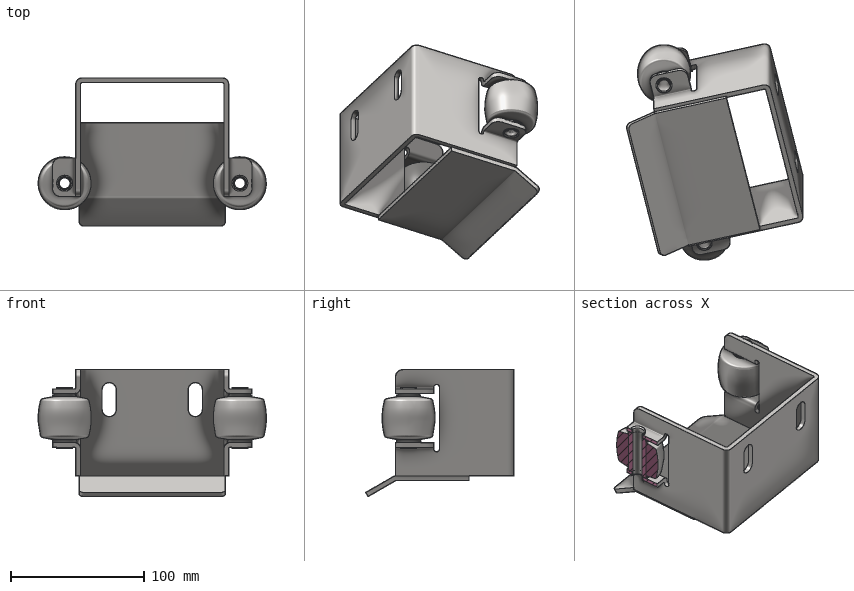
import cadquery as cq
import math


sheet = 3.6
bend_inner = 1.0
bend_outer = bend_inner + sheet

channel_width = 115.0
channel_depth = 89.0
channel_height = 80.0
front_corner_radius = 6.0
front_y = -channel_depth

mount_slot_width = 10.5
mount_slot_length = 25.4
mount_slot_spacing = 64.7
mount_slot_top_gap = 10.0

roller_top_gap = 36.5
roller_z = channel_height - roller_top_gap
tab_gap = 36.7
tab_width = 29.0
tab_corner_radius = 6.0
tab_tip_reach = 9.1
bend_start = tab_gap / 2 + bend_outer

relief_width = 4.1
relief_length = 50.5

plate_width = 110.0
plate_back_y = -33.6
ramp_angle = 30.0
ramp_bend_y = -88.5
ramp_front_y = -111.3
ramp_corner_radius = 4.0

overall_width = 171.5
roller_diameter = 40.0
rim_diameter = 35.7
rim_half_height = 14.4
rim_rounding = 2.5
hub_diameter = 18.0
hub_root_half_height = 16.1

axle_setback = 10.0
bore_diameter = 8.0
shank_diameter = 10.0
lip_diameter = 12.0
lip_height = 1.0
axle_diameter = 16.1
flange_diameter = 18.4
flange_thickness = 1.0

hub_half_height = tab_gap / 2 - flange_thickness
axle_x = (overall_width - roller_diameter) / 2
axle_y = front_y + axle_setback


def make_channel():
    """U-shaped channel with rounded bends, mounting slots and rounded upper front corners."""
    wall_middle = (0, front_y / 2, 0)
    outer = (
        cq.Workplane("XY", origin=wall_middle)
        .rect(channel_width, channel_depth)
        .extrude(channel_height)
        .edges("|Z and >Y")
        .fillet(bend_outer)
    )
    inner = (
        cq.Workplane("XY", origin=wall_middle)
        .center(0, -sheet)
        .rect(channel_width - 2 * sheet, channel_depth)
        .extrude(channel_height)
        .edges("|Z and >Y")
        .fillet(bend_inner)
    )
    channel = outer.cut(inner)
    channel = channel.edges("|X and <Y and >Z").fillet(front_corner_radius)

    slot_z = channel_height - mount_slot_top_gap - mount_slot_length / 2
    slots = (
        cq.Workplane("XZ")
        .pushPoints([(-mount_slot_spacing / 2, slot_z), (mount_slot_spacing / 2, slot_z)])
        .slot2D(mount_slot_length, mount_slot_width, 90)
        .extrude(2 * sheet)
    )
    return channel.cut(slots)


def make_windows():
    """Openings through both side walls: a relief slot and the area left by the bent tabs."""
    relief_y = front_y + tab_width + relief_width / 2
    relief = (
        cq.Workplane("YZ")
        .center(relief_y, roller_z)
        .slot2D(relief_length, relief_width, 90)
        .extrude(channel_width, both=True)
    )
    opening_middle_y = (front_y + relief_y) / 2
    opening = (
        cq.Workplane("YZ")
        .center(opening_middle_y, roller_z)
        .rect(relief_y - front_y, 2 * bend_start)
        .extrude(channel_width, both=True)
    )
    return relief.union(opening)


def make_upper_right_tab():
    """Tab bent outward from the right wall, above the roller, with a hole for the axle shank."""
    wall_inner = channel_width / 2 - sheet
    wall_outer = channel_width / 2
    bend_x = wall_outer + bend_inner
    bend_z = roller_z + bend_start
    tip_x = axle_x + tab_tip_reach
    diagonal = math.sqrt(0.5)
    tab = (
        cq.Workplane("XZ", origin=(0, front_y + tab_width, 0))
        .moveTo(wall_inner, bend_z)
        .threePointArc(
            (bend_x - bend_outer * diagonal, bend_z - bend_outer * diagonal),
            (bend_x, bend_z - bend_outer),
        )
        .lineTo(tip_x, bend_z - bend_outer)
        .lineTo(tip_x, bend_z - bend_inner)
        .lineTo(bend_x, bend_z - bend_inner)
        .threePointArc(
            (bend_x - bend_inner * diagonal, bend_z - bend_inner * diagonal),
            (wall_outer, bend_z),
        )
        .close()
        .extrude(tab_width)
        .edges("|Z and >X")
        .fillet(tab_corner_radius)
    )
    hole = (
        cq.Workplane("XY", origin=(axle_x, axle_y, roller_z))
        .circle(shank_diameter / 2)
        .extrude(bend_start)
    )
    return tab.cut(hole)


def make_base_plate():
    """Flat plate under the side walls, bent down at the front into a ramp with rounded corners."""
    angle = math.radians(ramp_angle)
    bend_center_z = -bend_outer

    def bend_point(radius, turn):
        return (ramp_bend_y - radius * math.sin(turn), bend_center_z + radius * math.cos(turn))

    top_bend_end = bend_point(bend_outer, angle)
    tip_top = (ramp_front_y, top_bend_end[1] - (top_bend_end[0] - ramp_front_y) * math.tan(angle))
    tip_bottom = (tip_top[0] + sheet * math.sin(angle), tip_top[1] - sheet * math.cos(angle))
    plate = (
        cq.Workplane("YZ")
        .moveTo(plate_back_y, 0)
        .lineTo(ramp_bend_y, 0)
        .threePointArc(bend_point(bend_outer, angle / 2), top_bend_end)
        .lineTo(*tip_top)
        .lineTo(*tip_bottom)
        .lineTo(*bend_point(bend_inner, angle))
        .threePointArc(bend_point(bend_inner, angle / 2), (ramp_bend_y, -sheet))
        .lineTo(plate_back_y, -sheet)
        .close()
        .extrude(plate_width / 2, both=True)
    )
    tip_edge_direction = cq.Vector(0, tip_bottom[0] - tip_top[0], tip_bottom[1] - tip_top[1])
    tip_corners = cq.selectors.ParallelDirSelector(tip_edge_direction)
    return plate.edges(tip_corners).edges("<Y").fillet(ramp_corner_radius)


def make_bracket():
    """One-piece bracket: channel, base plate and four axle tabs."""
    bracket = make_channel().cut(make_windows()).union(make_base_plate())
    upper_right = make_upper_right_tab()
    lower_right = upper_right.mirror("XY", (0, 0, roller_z))
    for tab in (upper_right, lower_right):
        bracket = bracket.union(tab).union(tab.mirror("YZ"))
    return bracket


def make_roller(x):
    """Barrel-shaped roller with conical ends, short hubs and a bore for the axle."""
    roller = (
        cq.Workplane("XZ")
        .moveTo(axle_diameter / 2, -hub_half_height)
        .lineTo(hub_diameter / 2, -hub_half_height)
        .lineTo(hub_diameter / 2, -hub_root_half_height)
        .lineTo(rim_diameter / 2, -rim_half_height)
        .threePointArc((roller_diameter / 2, 0), (rim_diameter / 2, rim_half_height))
        .lineTo(hub_diameter / 2, hub_root_half_height)
        .lineTo(hub_diameter / 2, hub_half_height)
        .lineTo(axle_diameter / 2, hub_half_height)
        .close()
        .revolve(360, (0, 0, 0), (0, 1, 0))
    )
    for side in (-1, 1):
        rim_point = (0, 0, side * rim_half_height)
        roller = roller.edges(cq.selectors.NearestToPointSelector(rim_point)).fillet(rim_rounding)
    return roller.translate((x, axle_y, roller_z))


def make_axle(x):
    """Tubular axle: flange under the roller, shanks through the tabs, flared lips at both ends."""
    shoulder = tab_gap / 2
    seat = shoulder + sheet
    end = seat + lip_height
    bore_radius = bore_diameter / 2
    lip_radius = lip_diameter / 2
    flare = lip_radius - bore_radius
    flare_start = end - flare
    flare_middle_radius = lip_radius - flare * math.sqrt(0.5)
    flare_middle_z = flare_start + flare * math.sqrt(0.5)
    axle = (
        cq.Workplane("XZ")
        .moveTo(lip_radius, -end)
        .lineTo(lip_radius, -seat)
        .lineTo(shank_diameter / 2, -seat)
        .lineTo(shank_diameter / 2, -shoulder)
        .lineTo(flange_diameter / 2, -shoulder)
        .lineTo(flange_diameter / 2, -hub_half_height)
        .lineTo(axle_diameter / 2, -hub_half_height)
        .lineTo(axle_diameter / 2, shoulder)
        .lineTo(shank_diameter / 2, shoulder)
        .lineTo(shank_diameter / 2, seat)
        .lineTo(lip_radius, seat)
        .lineTo(lip_radius, end)
        .threePointArc((flare_middle_radius, flare_middle_z), (bore_radius, flare_start))
        .lineTo(bore_radius, -flare_start)
        .threePointArc((flare_middle_radius, -flare_middle_z), (lip_radius, -end))
        .close()
        .revolve(360, (0, 0, 0), (0, 1, 0))
    )
    return axle.translate((x, axle_y, roller_z))


bracket = make_bracket()
rollers = []
axles = []
for x in (-axle_x, axle_x):
    rollers.append(make_roller(x).val())
    axles.append(make_axle(x).val())

result = cq.Compound.makeCompound([bracket.val(), *rollers, *axles])